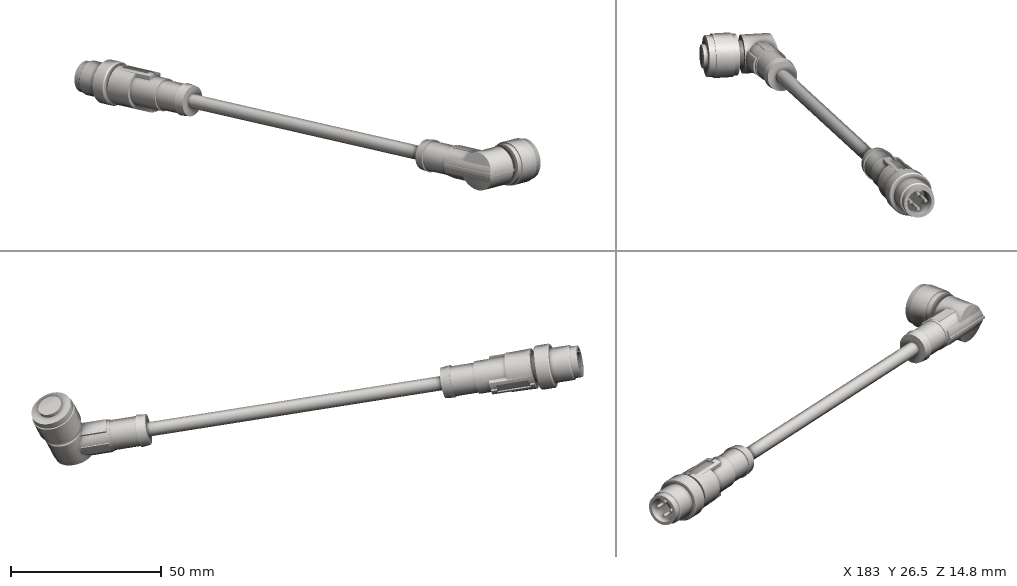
import cadquery as cq
import math


overall_length = 183.0

cable_radius = 2.4

nose_end = 2.4
thread_end = 9.1
ring_end = 14.3
grip_start = 15.5
grip_end = 24.2
sleeve_end = 35.0
tail_end = 43.2
plug_end = 46.5
nose_radius = 5.3
thread_radius = 5.9
thread_chamfer = 0.4
ring_diameter = 14.8
ring_radius = ring_diameter / 2
ring_chamfer = 0.4
neck_radius = 4.5
grip_radius = 6.8
grip_end_radius = 6.5
sleeve_radius = 5.5
tail_diameter = 10.0
tail_radius = tail_diameter / 2
collar_radius = 5.5
collar_rim_radius = 5.1

chamber_radius = 4.2
chamber_depth = 8.2
key_width = 1.5
key_height = 0.5
pin_count = 4
pin_radius = 0.5
pin_circle_radius = 2.5
pin_recess = 1.0

rib_end = 30.4
rib_width = 5.5
window_start = 17.2
window_end = 28.4
window_width = 3.3
window_floor = 6.0
notch_width = 1.0

boot_start = 146.7
boot_collar_end = 149.8
shoulder_start = 159.0
boot_rib_start = 159.9
boot_radius = tail_radius
shoulder_radius = 5.3
rib_stop = 169.2
flat_rib_width = 3.5
flat_rib_height = shoulder_radius
side_rib_width = 5.5
side_rib_radius = 5.9

tilt = 7.0
head_diameter = 13.0
head_radius = head_diameter / 2
head_top = 5.3
head_neck_radius = 4.8
nut_start = 7.1
nut_band_start = 8.8
nut_band_end = 15.2
nut_end = 17.4
nut_radius = ring_radius
nut_rim_radius = 7.0
insert_height = 1.37
insert_end = nut_end + insert_height
insert_radius = 4.0
nut_reach = nut_band_end * math.sin(math.radians(tilt)) + nut_radius * math.cos(math.radians(tilt))
head_x = overall_length - nut_reach

gable_angle = 10.0
rib_edge_y = math.sqrt(side_rib_radius**2 - (side_rib_width / 2) ** 2)
gable_crest = rib_edge_y + side_rib_width / 2 * math.tan(math.radians(gable_angle))
keel_width = 1.0
keel_height = 0.45
keel_depth = side_rib_radius + keel_height
keel_overhang = 0.45


def cylinder_x(start, end, radius):
    return cq.Workplane("YZ").workplane(offset=start).circle(radius).extrude(end - start)


def cone_x(start, end, start_radius, end_radius):
    outline = [(start, 0), (start, start_radius), (end, end_radius), (end, 0)]
    return cq.Workplane("XY").polyline(outline).close().revolve(360, (0, 0), (1, 0))


def block(x_range, y_range, z_range):
    sizes = [high - low for low, high in (x_range, y_range, z_range)]
    corner = (x_range[0], y_range[0], z_range[0])
    return cq.Workplane("XY").box(*sizes, centered=False).translate(corner)


def centred(width):
    return (-width / 2, width / 2)


def join(parts):
    joined = parts[0]
    for part in parts[1:]:
        joined = joined.union(part)
    return joined


def plug_body():
    nose = cylinder_x(0, nose_end, nose_radius)
    thread = cylinder_x(nose_end, thread_end, thread_radius).faces("<X").chamfer(thread_chamfer)
    ring = cylinder_x(thread_end, ring_end, ring_radius).edges().chamfer(ring_chamfer)
    neck = cylinder_x(ring_end, grip_start, neck_radius)
    grip = cone_x(grip_start, grip_end, grip_radius, grip_end_radius)
    sleeve = cylinder_x(grip_end, sleeve_end, sleeve_radius)
    tail = cylinder_x(sleeve_end, tail_end, tail_radius)
    collar = cone_x(tail_end, plug_end, collar_radius, collar_rim_radius)
    return join([nose, thread, ring, neck, grip, sleeve, tail, collar])


def add_plug_ribs(body):
    """Two ribs rounded like the grip, each with a sunk window and a notch at both ends."""
    rib_span = (grip_start, rib_end)
    across = (-grip_radius, grip_radius)
    rib_stock = cylinder_x(grip_start, rib_end, grip_radius)
    body = body.union(rib_stock.intersect(block(rib_span, centred(rib_width), across)))
    for low, high in ((window_floor, grip_radius), (-grip_radius, -window_floor)):
        body = body.cut(block((window_start, window_end), centred(window_width), (low, high)))
        body = body.cut(block(rib_span, centred(notch_width), (low, high)))
    return body


def hollow_nose(body):
    """Contact chamber with a coding key at +Z and a ring of pins."""
    chamber = cylinder_x(0, chamber_depth, chamber_radius)
    key = block(
        (0, chamber_depth), centred(key_width), (chamber_radius - key_height, chamber_radius)
    )
    body = body.cut(chamber.cut(key))
    pins = (
        cq.Workplane("YZ").workplane(offset=pin_recess)
        .polarArray(pin_circle_radius, 0, 360, pin_count)
        .circle(pin_radius).extrude(chamber_depth + pin_recess)
    )
    return body.union(pins)


def side_rib(end, y_range):
    """Rib concentric with the boot, standing proud of it on one side."""
    stock = cylinder_x(boot_rib_start, end, side_rib_radius)
    return stock.intersect(block((boot_rib_start, end), y_range, centred(side_rib_width)))


def socket_boot():
    boot = cone_x(boot_start, boot_collar_end, collar_rim_radius, collar_radius)
    boot = boot.union(cylinder_x(boot_collar_end, shoulder_start, boot_radius))
    boot = boot.union(cylinder_x(shoulder_start, head_x, shoulder_radius))
    flat_ribs = block(
        (boot_rib_start, rib_stop), centred(flat_rib_width), centred(2 * flat_rib_height)
    )
    far_rib = side_rib(rib_stop, (0, side_rib_radius))
    near_rib = side_rib(head_x, (-side_rib_radius, 0))
    return join([boot, flat_ribs, far_rib, near_rib])


def tilted(section):
    """Lean a section standing on the +Y axis toward +X and move it to the head."""
    return section.rotate((0, 0, 0), (0, 0, 1), -tilt).translate((head_x, 0, 0))


def socket_head():
    """Round head cut to a gable on its -Y end, with the near rib of the boot running on across it."""
    below = -2 * head_radius
    head = tilted(
        cq.Workplane("XZ", origin=(0, below, 0)).circle(head_radius).extrude(below - head_top)
    )
    reach = 2 * head_radius
    eave_y = -gable_crest + reach * math.tan(math.radians(gable_angle))
    outline = [
        (-gable_crest, 0),
        (eave_y, reach),
        (reach, reach),
        (reach, -reach),
        (eave_y, -reach),
    ]
    gable_stock = cq.Workplane("YZ", origin=(head_x, 0, 0)).polyline(outline).close()
    gable = gable_stock.extrude(reach, both=True)
    crest_rib = side_rib(head_x + reach, (-side_rib_radius, 0))
    return head.intersect(gable.union(crest_rib))


def keel():
    """Thin plate along the -Y side of the boot and head, following the leaning far side of the head."""
    lean = math.radians(tilt)

    def tip_x(y):
        return head_x + y * math.tan(lean) + (head_radius + keel_overhang) / math.cos(lean)

    top = head_top - head_radius * math.sin(lean)
    outline = [
        (boot_rib_start, 0),
        (boot_rib_start, -keel_depth),
        (tip_x(-keel_depth), -keel_depth),
        (tip_x(top), top),
        (head_x, top),
        (head_x, 0),
    ]
    return cq.Workplane("XY").polyline(outline).close().extrude(keel_width / 2, both=True)


def socket_nut():
    """Neck, coupling nut and contact insert, turned about the tilted axis."""
    profile = [
        (0, 0),
        (head_neck_radius, 0),
        (head_neck_radius, nut_start),
        (nut_rim_radius, nut_start),
        (nut_rim_radius, nut_band_start),
        (nut_radius, nut_band_start),
        (nut_radius, nut_band_end),
        (nut_rim_radius, nut_band_end),
        (nut_rim_radius, nut_end),
        (insert_radius, nut_end),
        (insert_radius, insert_end),
        (0, insert_end),
    ]
    return tilted(cq.Workplane("XY").polyline(profile).close().revolve(360, (0, 0), (0, 1)))


plug = hollow_nose(add_plug_ribs(plug_body()))
cable = cylinder_x(tail_end, boot_collar_end, cable_radius)
result = join([plug, cable, socket_boot(), socket_head(), keel(), socket_nut()])